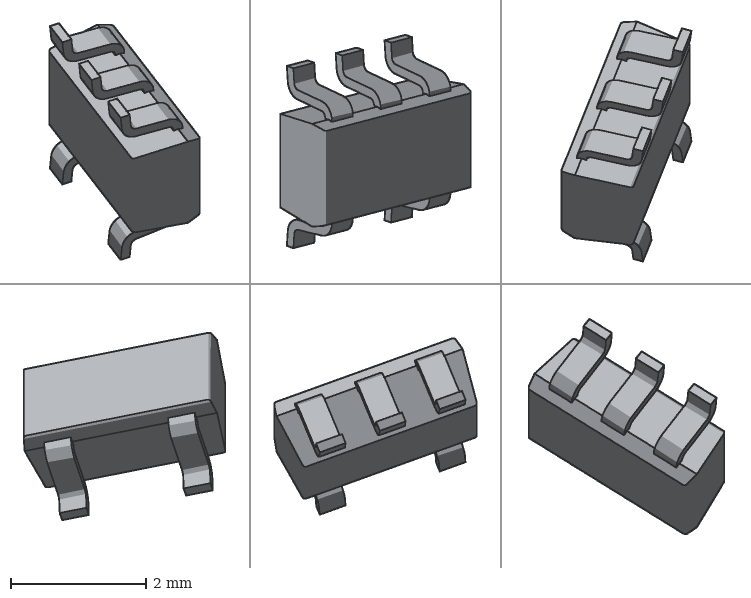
import cadquery as cq
import math

BODY_WIDTH = 2.95
BODY_HEIGHT = 1.6
SPAN = 2.8
DEPTH = 1.19
STANDOFF = 0.085
PARTING_DEPTH = 0.235

BACK_Y = DEPTH / 2
FEET_Y = -DEPTH / 2
FRONT_Y = FEET_Y + STANDOFF
PARTING_Y = BACK_Y - PARTING_DEPTH

SIDE_DRAFT_FRONT = math.radians(6.5)
SIDE_DRAFT_BACK = math.radians(11)
END_DRAFT_FRONT = math.radians(4.8)
END_DRAFT_BACK = math.radians(14)
SIDE_EDGE_RADIUS = 0.05
END_EDGE_DEPTH = 0.04
END_EDGE_DROP = 0.01

LEAD_WIDTH = 0.41
LEAD_THICKNESS = 0.15
LEAD_PITCH = 0.95
INNER_BEND_RADIUS = 0.1
OUTER_BEND_RADIUS = INNER_BEND_RADIUS + LEAD_THICKNESS
SHANK_SLOPE = math.radians(4.3)
FOOT_TILT = math.radians(5)
FOOT_LENGTH = 0.236
ROOT_DEPTH = 0.15
TOP_LEAD_X = (-LEAD_PITCH, 0, LEAD_PITCH)
BOTTOM_LEAD_X = (-LEAD_PITCH, LEAD_PITCH)


def drafted_half(half_size, front_draft, back_draft):
    """Half sizes at the front and back faces of a drafted outline."""
    front = half_size - (PARTING_Y - FRONT_Y) * math.tan(front_draft)
    back = half_size - (BACK_Y - PARTING_Y) * math.tan(back_draft)
    return front, back


def side_profile_prism():
    """XY outline with rounded front and back corners, running along Z."""
    half = BODY_WIDTH / 2
    front, back = drafted_half(half, SIDE_DRAFT_FRONT, SIDE_DRAFT_BACK)
    outline = [
        (-front, FRONT_Y), (front, FRONT_Y), (half, PARTING_Y),
        (back, BACK_Y), (-back, BACK_Y), (-half, PARTING_Y),
    ]
    prism = cq.Workplane("XY").polyline(outline).close().extrude(BODY_HEIGHT / 2, both=True)
    return prism.edges("|Z and (<Y or >Y)").fillet(SIDE_EDGE_RADIUS)


def end_profile_prism():
    """YZ outline with narrow bevels at front and back, running along X."""
    half = BODY_HEIGHT / 2
    front, back = drafted_half(half, END_DRAFT_FRONT, END_DRAFT_BACK)
    front_bevel = front + END_EDGE_DEPTH * math.tan(END_DRAFT_FRONT)
    back_bevel = back + END_EDGE_DEPTH * math.tan(END_DRAFT_BACK)
    upper = [
        (FRONT_Y, front - END_EDGE_DROP), (FRONT_Y + END_EDGE_DEPTH, front_bevel),
        (PARTING_Y, half),
        (BACK_Y - END_EDGE_DEPTH, back_bevel), (BACK_Y, back - END_EDGE_DROP),
    ]
    lower = [(y, -z) for y, z in reversed(upper)]
    return cq.Workplane("YZ").polyline(upper + lower).close().extrude(BODY_WIDTH / 2, both=True)


def bend_point(center, radius, angle):
    return center[0] + radius * math.cos(angle), center[1] + radius * math.sin(angle)


def top_lead():
    """Gull-wing lead on the +Z end, centred on X = 0."""
    tip_z = SPAN / 2

    foot_bend_y = FEET_Y + FOOT_LENGTH * math.tan(FOOT_TILT) + OUTER_BEND_RADIUS * math.cos(FOOT_TILT)
    foot_bend_z = tip_z - FOOT_LENGTH + OUTER_BEND_RADIUS * math.sin(FOOT_TILT)
    foot_bend = (foot_bend_y, foot_bend_z)

    root_bend_y = PARTING_Y + LEAD_THICKNESS / 2 - OUTER_BEND_RADIUS
    bend_offset = (INNER_BEND_RADIUS + OUTER_BEND_RADIUS) / math.cos(SHANK_SLOPE)
    shank_rise = (root_bend_y - foot_bend_y) * math.tan(SHANK_SLOPE)
    root_bend_z = foot_bend_z - bend_offset - shank_rise
    root_bend = (root_bend_y, root_bend_z)

    root_start = 0
    root_end = math.pi / 2 - SHANK_SLOPE
    root_middle = (root_start + root_end) / 2
    foot_start = -math.pi / 2 - SHANK_SLOPE
    foot_end = -math.pi + FOOT_TILT
    foot_middle = (foot_start + foot_end) / 2

    root_z = root_bend_z - ROOT_DEPTH
    back_y = root_bend_y + OUTER_BEND_RADIUS
    tip_front_y = FEET_Y
    tip_back_y = FEET_Y + LEAD_THICKNESS / math.cos(FOOT_TILT)

    profile = (
        cq.Workplane("YZ")
        .moveTo(back_y, root_z)
        .lineTo(*bend_point(root_bend, OUTER_BEND_RADIUS, root_start))
        .threePointArc(
            bend_point(root_bend, OUTER_BEND_RADIUS, root_middle),
            bend_point(root_bend, OUTER_BEND_RADIUS, root_end),
        )
        .lineTo(*bend_point(foot_bend, INNER_BEND_RADIUS, foot_start))
        .threePointArc(
            bend_point(foot_bend, INNER_BEND_RADIUS, foot_middle),
            bend_point(foot_bend, INNER_BEND_RADIUS, foot_end),
        )
        .lineTo(tip_back_y, tip_z)
        .lineTo(tip_front_y, tip_z)
        .lineTo(*bend_point(foot_bend, OUTER_BEND_RADIUS, foot_end))
        .threePointArc(
            bend_point(foot_bend, OUTER_BEND_RADIUS, foot_middle),
            bend_point(foot_bend, OUTER_BEND_RADIUS, foot_start),
        )
        .lineTo(*bend_point(root_bend, INNER_BEND_RADIUS, root_end))
        .threePointArc(
            bend_point(root_bend, INNER_BEND_RADIUS, root_middle),
            bend_point(root_bend, INNER_BEND_RADIUS, root_start),
        )
        .lineTo(back_y - LEAD_THICKNESS, root_z)
        .close()
    )
    return profile.extrude(LEAD_WIDTH / 2, both=True)


body = side_profile_prism().intersect(end_profile_prism())
upper_lead = top_lead()
lower_lead = upper_lead.mirror("XY")

result = body
for x in TOP_LEAD_X:
    result = result.union(upper_lead.translate((x, 0, 0)))
for x in BOTTOM_LEAD_X:
    result = result.union(lower_lead.translate((x, 0, 0)))